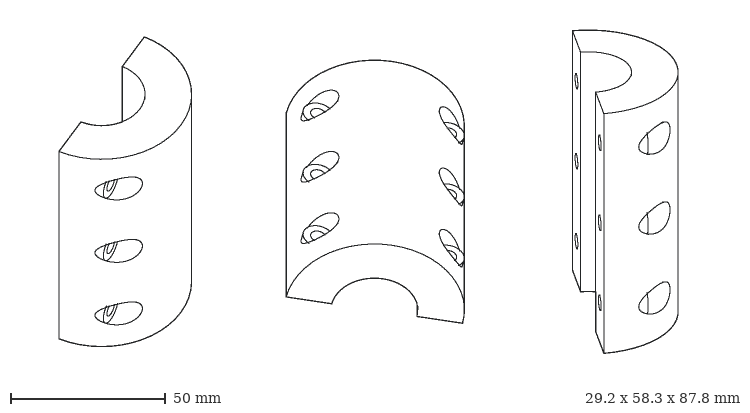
import cadquery as cq

length = 87.8
outer_radius = 29.15
bore_radius = 14.05

screws_per_side = 3
screw_hole_diameter = 5.0
screw_seat_diameter = 2 * screw_hole_diameter
screw_seat_x = 15.0
screw_offset_y = (outer_radius + bore_radius) / 2
screw_pitch = length / screws_per_side

screw_points = [
    (side * screw_offset_y, (row + 0.5) * screw_pitch)
    for side in (-1, 1)
    for row in range(screws_per_side)
]


def screw_cylinders(diameter, start_x, end_x):
    """One cylinder along +X at every screw position."""
    return (
        cq.Workplane("YZ", origin=(start_x, 0, 0))
        .pushPoints(screw_points)
        .circle(diameter / 2)
        .extrude(end_x - start_x)
    )


half_sleeve = (
    cq.Workplane("XY")
    .moveTo(0, -outer_radius)
    .threePointArc((outer_radius, 0), (0, outer_radius))
    .lineTo(0, bore_radius)
    .threePointArc((bore_radius, 0), (0, -bore_radius))
    .close()
    .extrude(length)
)

bosses = screw_cylinders(screw_seat_diameter, 0, screw_seat_x)

head_pockets = screw_cylinders(screw_seat_diameter, screw_seat_x, outer_radius)
screw_holes = screw_cylinders(screw_hole_diameter, 0, outer_radius)

result = half_sleeve.union(bosses).cut(head_pockets).cut(screw_holes)